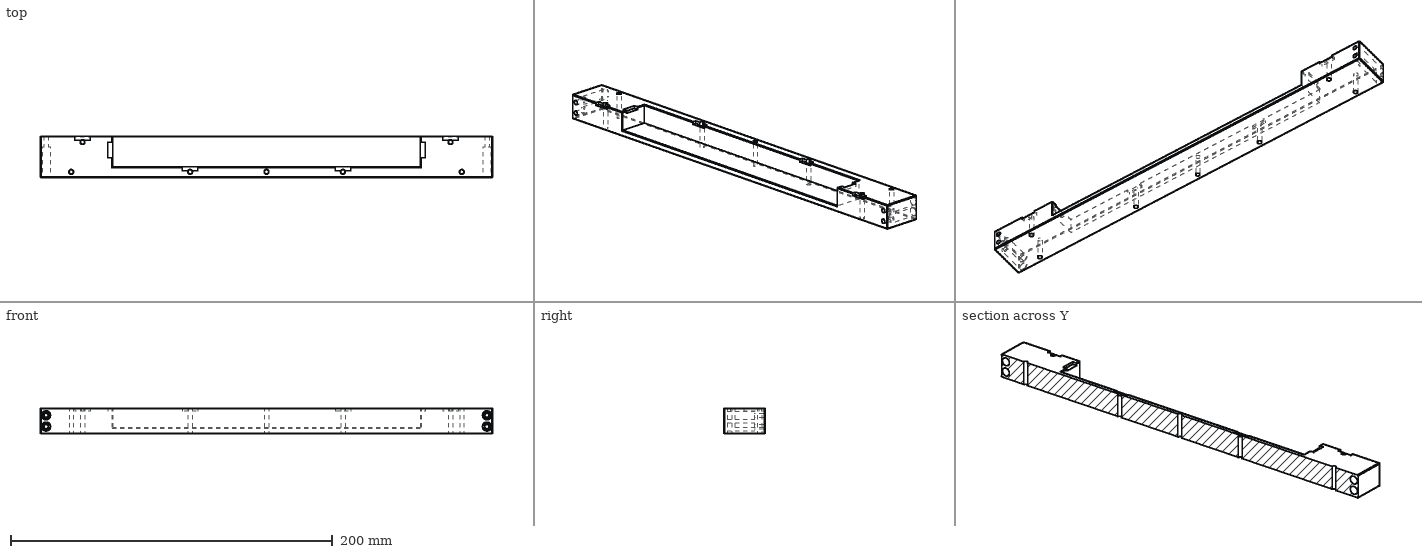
import cadquery as cq

LENGTH = 281.0
WIDTH = 26.0
HEIGHT = 16.0
EDGE_CHAMFER = 0.5

POCKET_LENGTH = 191.1
RIM_WIDTH = 6.7
FLOOR_THICKNESS = 4.0

NOTCH_LENGTH = 9.5
NOTCH_REACH = 2.5
NOTCH_DEPTH = 1.7
BACK_NOTCH_X = 114.5
RIM_NOTCH_X = 47.5
SIDE_NOTCH_REACH = 3.0
SIDE_NOTCH_Y = 4.2

HOLE_DIAMETER = 2.7
FRONT_HOLE_INSET = 3.7
BACK_HOLE_INSET = 3.7
END_HOLE_X = 121.5

COUNTERBORE_DIAMETER = 5.0
COUNTERBORE_DEPTH = 19.0
MOUTH_CHAMFER = 0.22
SCREW_WALL = 0.95
SCREW_SPACING = 7.0

TOP = HEIGHT / 2
END = LENGTH / 2
BACK = WIDTH / 2
FRONT = -BACK
POCKET_END = POCKET_LENGTH / 2
POCKET_FRONT = FRONT + RIM_WIDTH
POCKET_FLOOR = FLOOR_THICKNESS - TOP


def block(x_range, y_range, z_range):
    """Box spanning the given (low, high) ranges."""
    size = [high - low for low, high in (x_range, y_range, z_range)]
    corner = (x_range[0], y_range[0], z_range[0])
    return cq.Workplane("XY").box(*size, centered=False).translate(corner)


def body():
    """Bar with the pocket cut away and every outer edge bevelled."""
    bar = cq.Workplane("XY").box(LENGTH, WIDTH, HEIGHT)
    bar = bar.cut(block((-POCKET_END, POCKET_END), (POCKET_FRONT, BACK), (POCKET_FLOOR, TOP)))
    inside = (END - EDGE_CHAMFER, BACK - EDGE_CHAMFER, TOP - EDGE_CHAMFER)
    pocket_corners = cq.selectors.BoxSelector(tuple(-limit for limit in inside), inside)
    return bar.edges(cq.selectors.InverseSelector(pocket_corners)).chamfer(EDGE_CHAMFER)


def notches():
    """Notches at the back of the end blocks, in the rim and in the pocket end walls."""
    z_range = (TOP - NOTCH_DEPTH, TOP)

    def along(centre):
        return (centre - NOTCH_LENGTH / 2, centre + NOTCH_LENGTH / 2)

    back = block(along(BACK_NOTCH_X), (BACK - NOTCH_REACH, BACK), z_range)
    rim = block(along(RIM_NOTCH_X), (POCKET_FRONT - NOTCH_REACH, POCKET_FRONT), z_range)
    side = block((POCKET_END, POCKET_END + SIDE_NOTCH_REACH), along(SIDE_NOTCH_Y), z_range)
    right_half = back.add(rim).add(side).combine()
    return right_half.union(right_half.mirror("YZ"))


def vertical_holes():
    """Row of five holes along the front and one hole at each back notch."""
    front_y = FRONT + FRONT_HOLE_INSET
    back_y = BACK - BACK_HOLE_INSET
    points = [(x, front_y) for x in (-END_HOLE_X, -RIM_NOTCH_X, 0, RIM_NOTCH_X, END_HOLE_X)]
    points += [(x, back_y) for x in (-BACK_NOTCH_X, BACK_NOTCH_X)]
    return cq.Workplane("XY").pushPoints(points).circle(HOLE_DIAMETER / 2).extrude(TOP, both=True)


def screw_holes():
    """Four stepped holes along Y, two at each end of the bar."""
    bore_radius = COUNTERBORE_DIAMETER / 2
    mouth_radius = bore_radius + MOUTH_CHAMFER
    screw_x = END - SCREW_WALL - bore_radius
    along_y = cq.Vector(0, 1, 0)
    holes = cq.Workplane("XY")
    for x in (-screw_x, screw_x):
        for z in (-SCREW_SPACING / 2, SCREW_SPACING / 2):
            start = cq.Vector(x, FRONT, z)
            holes = holes.add(cq.Solid.makeCylinder(HOLE_DIAMETER / 2, WIDTH, start, along_y))
            holes = holes.add(cq.Solid.makeCylinder(bore_radius, COUNTERBORE_DEPTH, start, along_y))
            holes = holes.add(cq.Solid.makeCone(mouth_radius, bore_radius, MOUTH_CHAMFER, start, along_y))
    return holes.combine()


result = body().cut(notches()).cut(vertical_holes()).cut(screw_holes())